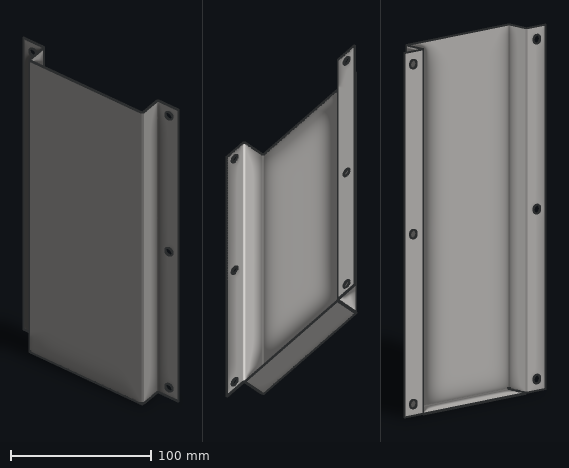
import cadquery as cq
import math

width = 138.0
depth = 19.0
height = 266.7

sheet = 0.8
inner_bend = 0.8
outer_bend = inner_bend + sheet

channel_width = 101.5
bottom_wall_width = 99.7
side_lift = 0.8
rear_gap = 0.8

hole_diameter = 6.5
hole_spacing_x = 120.8
hole_spacing_z = 124.0
holes_per_flange = 3

half_channel = channel_width / 2
hole_middle_z = height / 2
diagonal = math.sqrt(0.5)
side_height = height - side_lift


def side_and_flange(side):
    """Flange, rear bend, side wall and front bend on one side (-1 or +1)."""
    outer_x = side * half_channel
    inner_x = side * (half_channel - sheet)
    edge_x = side * width / 2
    rear_x = side * (half_channel + inner_bend)
    rear_y = depth - outer_bend
    front_x = side * (half_channel - outer_bend)
    front_y = outer_bend

    def rear_arc(radius):
        return (rear_x - side * radius * diagonal, rear_y + radius * diagonal)

    def front_arc(radius):
        return (front_x + side * radius * diagonal, front_y - radius * diagonal)

    folded = (
        cq.Workplane("XY").workplane(offset=side_lift)
        .moveTo(edge_x, depth)
        .lineTo(rear_x, depth)
        .threePointArc(rear_arc(outer_bend), (inner_x, rear_y))
        .lineTo(inner_x, front_y)
        .threePointArc(front_arc(inner_bend), (front_x, sheet))
        .lineTo(front_x, 0)
        .threePointArc(front_arc(outer_bend), (outer_x, front_y))
        .lineTo(outer_x, rear_y)
        .threePointArc(rear_arc(inner_bend), (rear_x, depth - sheet))
        .lineTo(edge_x, depth - sheet)
        .close()
        .extrude(side_height)
    )
    corner = cq.Workplane("XY").box(width, outer_bend, outer_bend, centered=(True, False, False))
    return folded.cut(corner)


def front_panel():
    """Flat front face between the two front bends, above the bottom bend."""
    return (
        cq.Workplane("XY").workplane(offset=outer_bend)
        .center(0, sheet / 2)
        .rect(channel_width - 2 * outer_bend, sheet)
        .extrude(height - outer_bend)
    )


def bottom_wall():
    """Wall folded back from the lower edge of the front panel, with its bend."""
    rear_y = depth - rear_gap
    bend = outer_bend
    return (
        cq.Workplane("YZ")
        .moveTo(0, bend)
        .threePointArc((bend - bend * diagonal, bend - bend * diagonal), (bend, 0))
        .lineTo(rear_y, 0)
        .lineTo(rear_y, sheet)
        .lineTo(bend, sheet)
        .threePointArc((bend - inner_bend * diagonal, bend - inner_bend * diagonal), (sheet, bend))
        .close()
        .extrude(bottom_wall_width / 2, both=True)
    )


def mounting_holes():
    """Grid of holes through both flanges."""
    return (
        cq.Workplane("XZ", origin=(0, 0, hole_middle_z))
        .rarray(hole_spacing_x, hole_spacing_z, 2, holes_per_flange)
        .circle(hole_diameter / 2)
        .extrude(-depth)
    )


cover = front_panel().union(bottom_wall())
for side in (-1, 1):
    cover = cover.union(side_and_flange(side))
result = cover.cut(mounting_holes())